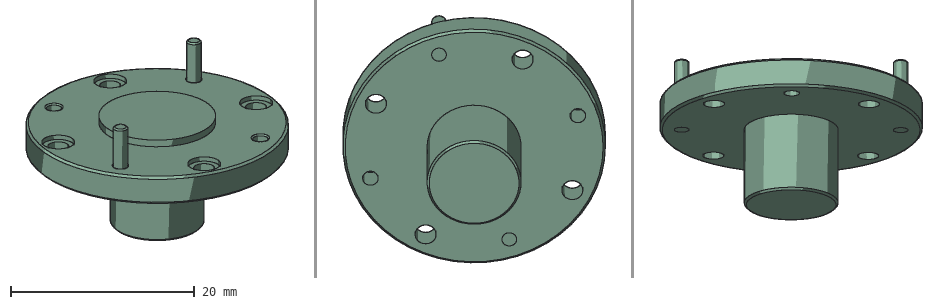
import cadquery as cq
import math

flange_diameter = 28.57
flange_thickness = 3.25
flange_chamfer = 0.25
pad_diameter = 12.7
pad_height = 0.8
shaft_diameter = 10.23
shaft_length = 8.65
shaft_chamfer = 0.23

screw_circle_radius = 11.9
screw_hole_diameter = 2.29
counterbore_diameter = 3.57
counterbore_depth = 0.5

pin_diameter = 1.6
pin_projection = 4.65
pin_chamfer = 0.17

dowel_circle_radius = 11.9
pin_hole_diameter = pin_diameter
pin_hole_chamfer = 0.1
open_hole_diameter = 1.69
open_hole_chamfer = 0.157

flange_top = flange_thickness
screw_angles = [0, 90, 180, 270]
pin_angles = [135, 315]
open_dowel_angles = [45, 225]


def points_on_circle(radius, angles):
    return [
        (radius * math.cos(math.radians(angle)), radius * math.sin(math.radians(angle)))
        for angle in angles
    ]


def make_blank():
    disk = cq.Workplane("XY").circle(flange_diameter / 2).extrude(flange_thickness)
    disk = disk.edges().chamfer(flange_chamfer)
    pad = cq.Workplane("XY", origin=(0, 0, flange_top)).circle(pad_diameter / 2).extrude(pad_height)
    shaft = cq.Workplane("XY").circle(shaft_diameter / 2).extrude(-shaft_length)
    shaft = shaft.faces("<Z").edges().chamfer(shaft_chamfer)
    return disk.union(pad).union(shaft)


def cut_screw_holes(body):
    return (
        body.faces(">Z")
        .workplane(offset=-pad_height, origin=(0, 0, 0))
        .pushPoints(points_on_circle(screw_circle_radius, screw_angles))
        .cboreHole(screw_hole_diameter, counterbore_diameter, counterbore_depth)
    )


def cut_chamfered_holes(body, diameter, chamfer, angles):
    radius = diameter / 2
    cutter = (
        cq.Workplane("XZ")
        .moveTo(0, 0)
        .lineTo(radius, 0)
        .lineTo(radius, flange_top - chamfer)
        .lineTo(radius + chamfer, flange_top)
        .lineTo(0, flange_top)
        .close()
        .revolve(360, (0, 0, 0), (0, 1, 0))
    )
    for x, y in points_on_circle(dowel_circle_radius, angles):
        body = body.cut(cutter.translate((x, y, 0)))
    return body


def make_flange():
    body = cut_screw_holes(make_blank())
    body = cut_chamfered_holes(body, pin_hole_diameter, pin_hole_chamfer, pin_angles)
    return cut_chamfered_holes(body, open_hole_diameter, open_hole_chamfer, open_dowel_angles)


def make_pin(x, y):
    pin = cq.Workplane("XY").circle(pin_diameter / 2).extrude(flange_top + pin_projection)
    return pin.faces(">Z").edges().chamfer(pin_chamfer).translate((x, y, 0))


flange = make_flange()
pins = [make_pin(x, y) for x, y in points_on_circle(dowel_circle_radius, pin_angles)]

result = cq.Compound.makeCompound([flange.val(), *[pin.val() for pin in pins]])